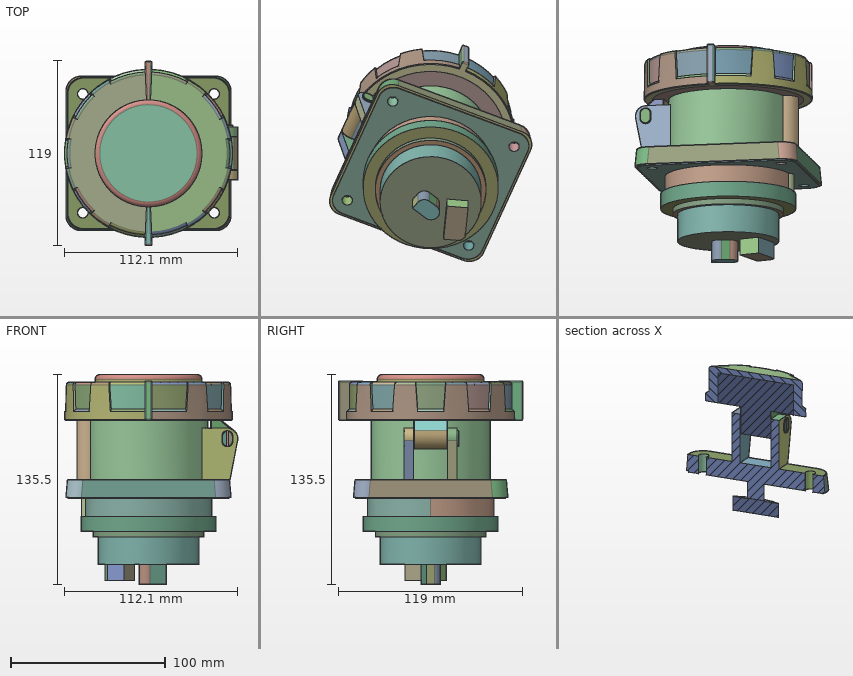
import cadquery as cq
import math

block_foot_bottom = 2.5
insert_bottom = 12.9
insert_step_bottom = 30.6
insert_collar_bottom = 34.1
insert_top = 43.9
flange_bottom = 55.3
flange_top = 67.6
housing_top = 105.8
lid_disc_top = 126.7
ring_top = 130.5
lid_top = 135.5

barrel_radius = 38.5
neck_radius = 40.9
column_offset = 38.0
column_radius = 8.3
neck_column_radius = 5.4
flange_length = 106.8
flange_width = 99.9
flange_corner_radius = 10.0
flange_draft_inset = 1.0
flange_top_chamfer = 0.4
flange_lip_height = 0.8
flange_lip_inset = 1.5
mount_spacing_x = 84.8
mount_spacing_y = 76.7
mount_hole_diameter = 6.6

hinge_x = 51.0
hinge_z = 94.0
hinge_radius = 6.8
hinge_half_width = 17.1
hinge_gap_half_width = 11.0
bracket_foot_x = 52.7
bracket_root_x = 27.1
arm_inner_x = 40.1
arm_slope_angle = 39.0
arm_edge_chamfer = 0.5
arm_root = 1.4
pin_width = 7.2
pin_height = 10.3
pin_overhang = 1.2
pin_slot_width = 1.4
pin_slot_depth = 1.4
pin_end_chamfer = 0.4

lid_disc_radius = 48.8
boss_radius = 34.5
boss_fillet = 3.1

ring_base_radius = 54.3
ring_rim_radius = 53.9
ring_top_fillet = 1.8
ring_bottom_chamfer = 0.5
recess_radius = 52.6
recess_bottom = 111.4
recess_pitch = 36.0
narrow_recess_half_angle = 10.5
recess_side_narrowing = 1.5
wing_reach = 59.5
wing_outer_width = 4.7
wing_inner_width = 2.5
wing_outer_top = 131.5
wing_inner_top = 130.8
wing_edge_fillet = 1.0

collar_radius = 43.6
step_radius = 35.8
insert_radius = 32.7
feet_angle = 17.2
block_foot_x = -19.0
block_foot_y = -3.3
block_foot_width = 13.7
block_foot_length = 23.8
block_foot_chamfer = 2.8
round_foot_x = -0.61
round_foot_y = -0.8
round_foot_radius = 5.4
round_foot_length = 16.5

overrun = 6.8


def disc(radius, bottom, top, x=0.0):
    """Upright cylinder between two heights, on the X axis."""
    return cq.Workplane("XY", origin=(x, 0, bottom)).circle(radius).extrude(top - bottom)


def rounded_rectangle(inset, height):
    """Flange outline drawn in by an inset, keeping its corner radius, at a height."""
    return (
        cq.Sketch()
        .rect(flange_length - 2 * inset, flange_width - 2 * inset)
        .vertices()
        .fillet(flange_corner_radius)
        .moved(cq.Location(cq.Vector(0, 0, height)))
    )


def polar(radius, angle):
    """Point at a radius and an angle in degrees."""
    return radius * math.cos(math.radians(angle)), radius * math.sin(math.radians(angle))


def make_flange():
    """Plate with a short set-back lip, drafted sides and a small bevel around the top."""
    lip_top = flange_bottom + flange_lip_height
    bevel_bottom = flange_top - flange_top_chamfer
    lip = (
        cq.Workplane("XY")
        .placeSketch(rounded_rectangle(flange_lip_inset, flange_bottom))
        .extrude(flange_lip_height)
    )
    plate = (
        cq.Workplane("XY")
        .placeSketch(
            rounded_rectangle(0, lip_top),
            rounded_rectangle(flange_draft_inset, bevel_bottom),
            rounded_rectangle(flange_draft_inset + flange_top_chamfer, flange_top),
        )
        .loft(ruled=True)
    )
    return plate.union(lip)


def make_bracket_profile():
    """Upright plate outline: flat top, round nose about the pin, back edge sloping to the flange."""
    foot_dx = bracket_foot_x - hinge_x
    foot_dz = flange_top - hinge_z
    foot_angle = math.degrees(math.atan2(foot_dz, foot_dx))
    half_spread = math.degrees(math.acos(hinge_radius / math.hypot(foot_dx, foot_dz)))
    tangent_angle = foot_angle + half_spread
    tangent_dx, tangent_dz = polar(hinge_radius, tangent_angle)
    middle_dx, middle_dz = polar(hinge_radius, (90 + tangent_angle) / 2)
    return (
        cq.Workplane("XZ")
        .moveTo(bracket_root_x, flange_top)
        .lineTo(bracket_root_x, hinge_z + hinge_radius)
        .lineTo(hinge_x, hinge_z + hinge_radius)
        .threePointArc(
            (hinge_x + middle_dx, hinge_z + middle_dz),
            (hinge_x + tangent_dx, hinge_z + tangent_dz),
        )
        .lineTo(bracket_foot_x, flange_top)
        .close()
    )


def make_brackets():
    plates = make_bracket_profile().extrude(hinge_half_width, both=True)
    gap = make_bracket_profile().extrude(hinge_gap_half_width, both=True)
    return plates.cut(gap)


def make_housing():
    body = (
        make_flange()
        .union(make_brackets())
        .union(disc(barrel_radius, flange_top, housing_top))
        .union(disc(column_radius, flange_top, housing_top, -column_offset))
        .union(disc(neck_radius, insert_top, flange_bottom))
        .union(disc(neck_column_radius, insert_top, flange_bottom, -column_offset))
    )
    mounting_holes = (
        cq.Workplane("XY", origin=(0, 0, flange_bottom))
        .rect(mount_spacing_x, mount_spacing_y, forConstruction=True)
        .vertices()
        .circle(mount_hole_diameter / 2)
        .extrude(flange_top - flange_bottom)
    )
    return body.cut(mounting_holes).cut(make_pin_shape())


def make_pin_shape():
    """Plain pin of oblong section, flush with the -Y bracket and standing proud of the +Y one."""
    return (
        cq.Workplane("XZ", origin=(hinge_x, hinge_half_width + pin_overhang, hinge_z))
        .slot2D(pin_height, pin_width, 90)
        .extrude(2 * hinge_half_width + pin_overhang)
    )


def make_pin():
    slot = cq.Workplane("XY", origin=(hinge_x, -hinge_half_width, hinge_z)).box(
        pin_slot_width, 2 * pin_slot_depth, pin_height
    )
    return make_pin_shape().faces("<Y or >Y").chamfer(pin_end_chamfer).cut(slot)


def make_lid_arm():
    """Hinge arm: slopes from the lid's underside onto a round knuckle about the pin."""
    slope_dx, slope_dz = polar(hinge_radius, 90 - arm_slope_angle)
    nose_dx, nose_dz = polar(hinge_radius, -arm_slope_angle / 2)
    slope_x = hinge_x + slope_dx
    slope_z = hinge_z + slope_dz
    arm_top = housing_top + arm_root
    slope_top_x = slope_x - (arm_top - slope_z) / math.tan(math.radians(arm_slope_angle))
    return (
        cq.Workplane("XZ", origin=(0, hinge_gap_half_width, 0))
        .moveTo(arm_inner_x, arm_top)
        .lineTo(slope_top_x, arm_top)
        .lineTo(slope_x, slope_z)
        .threePointArc((hinge_x + nose_dx, hinge_z + nose_dz), (hinge_x, hinge_z - hinge_radius))
        .lineTo(arm_inner_x, hinge_z - hinge_radius)
        .close()
        .extrude(2 * hinge_gap_half_width)
        .faces("<Y or >Y")
        .chamfer(arm_edge_chamfer)
    )


def make_lid():
    boss = disc(boss_radius, lid_disc_top, lid_top).faces(">Z").edges().fillet(boss_fillet)
    disc_plate = disc(lid_disc_radius, housing_top, lid_disc_top)
    return disc_plate.union(boss).union(make_lid_arm()).cut(make_pin_shape())


def make_ring_blank():
    blank = (
        cq.Workplane("XZ")
        .moveTo(0, housing_top)
        .lineTo(ring_base_radius, housing_top)
        .lineTo(ring_rim_radius, ring_top)
        .lineTo(0, ring_top)
        .close()
        .revolve(360, (0, 0), (0, 1))
    )
    blank = blank.faces(">Z").edges().fillet(ring_top_fillet)
    return blank.faces("<Z").edges().chamfer(ring_bottom_chamfer)


def make_recess_band():
    """Band outside the recessed wall, with a 45 degree floor and a rounded upper edge."""
    outside = ring_base_radius + overrun
    above = ring_top + overrun
    floor_rise = ring_base_radius - recess_radius
    corner = ring_top_fillet * (1 - math.sqrt(0.5))
    return (
        cq.Workplane("XZ")
        .moveTo(outside, recess_bottom - overrun)
        .lineTo(recess_radius, recess_bottom + floor_rise)
        .lineTo(recess_radius, ring_top - ring_top_fillet)
        .threePointArc(
            (recess_radius - corner, ring_top - corner),
            (recess_radius - ring_top_fillet, ring_top),
        )
        .lineTo(recess_radius - ring_top_fillet, above)
        .lineTo(outside, above)
        .close()
        .revolve(360, (0, 0), (0, 1))
    )


def make_recess_wedge(half_angle, direction):
    """Radial-sided wedge that narrows downwards, pointing in the given direction."""
    top_slope = math.tan(math.radians(half_angle))
    bottom_slope = math.tan(math.radians(half_angle - recess_side_narrowing))

    def section(workplane, distance):
        return workplane.polyline(
            [
                (-bottom_slope * distance, recess_bottom),
                (bottom_slope * distance, recess_bottom),
                (top_slope * distance, ring_top),
                (-top_slope * distance, ring_top),
            ]
        ).close()

    near = boss_radius
    far = ring_base_radius + overrun
    wedge = section(cq.Workplane("YZ", origin=(near, 0, 0)), near)
    wedge = section(wedge.workplane(offset=far - near), far).loft(ruled=True)
    return wedge.rotate((0, 0, 0), (0, 0, 1), direction)


def make_wing(direction):
    """Grip rib tapering in plan and in height towards the boss."""
    wing_root = boss_radius - overrun
    plan = (
        cq.Workplane("XY", origin=(0, 0, housing_top))
        .polyline(
            [
                (wing_root, -wing_inner_width / 2),
                (wing_reach, -wing_outer_width / 2),
                (wing_reach, wing_outer_width / 2),
                (wing_root, wing_inner_width / 2),
            ]
        )
        .close()
        .extrude(lid_top - housing_top)
    )
    side = (
        cq.Workplane("XZ")
        .polyline(
            [
                (wing_root, housing_top),
                (wing_reach, housing_top),
                (wing_reach, wing_outer_top),
                (wing_root, wing_inner_top),
            ]
        )
        .close()
        .extrude(wing_outer_width, both=True)
    )
    wing = plan.intersect(side)
    wing = wing.faces(">X or >Z").edges("not <X").fillet(wing_edge_fillet)
    return wing.rotate((0, 0, 0), (0, 0, 1), direction)


def make_ring():
    ring = make_ring_blank()
    band = make_recess_band()
    wide_half_angle = narrow_recess_half_angle + recess_pitch / 2
    recesses = [(90.0, wide_half_angle), (270.0, wide_half_angle)]
    for side in (0, 180):
        for step in (-1, 0, 1):
            recesses.append((side + step * recess_pitch, narrow_recess_half_angle))
    for direction, half_angle in recesses:
        ring = ring.cut(band.intersect(make_recess_wedge(half_angle, direction)))
    for direction in (90, 270):
        ring = ring.union(make_wing(direction))
    lid_room = disc(lid_disc_radius, housing_top, lid_disc_top)
    boss_hole = disc(boss_radius, lid_disc_top, lid_top)
    return ring.cut(lid_room).cut(boss_hole)


def make_block_foot():
    """Turned rectangular foot with one bevelled corner."""
    return (
        cq.Workplane("XY")
        .rect(block_foot_width, block_foot_length)
        .extrude(insert_bottom - block_foot_bottom)
        .edges("|Z").edges("<(1, 1, 0)")
        .chamfer(block_foot_chamfer)
        .rotate((0, 0, 0), (0, 0, 1), -feet_angle)
        .translate((block_foot_x, block_foot_y, block_foot_bottom))
    )


def make_round_foot():
    """Turned oblong foot whose far end keeps one square corner."""
    half_span = round_foot_length / 2 - round_foot_radius
    oblong = cq.Workplane("XY").center(half_span, 0).slot2D(round_foot_length, 2 * round_foot_radius)
    corner = cq.Workplane("XY").rect(
        round_foot_length - round_foot_radius, -round_foot_radius, centered=False
    )
    return (
        oblong.extrude(insert_bottom)
        .union(corner.extrude(insert_bottom))
        .rotate((0, 0, 0), (0, 0, 1), feet_angle)
        .translate((round_foot_x, round_foot_y, 0))
    )


def make_insert():
    return (
        disc(collar_radius, insert_collar_bottom, insert_top)
        .union(disc(step_radius, insert_step_bottom, insert_collar_bottom))
        .union(disc(insert_radius, insert_bottom, insert_step_bottom))
        .union(make_block_foot())
        .union(make_round_foot())
    )


housing = make_housing()
hinge_pin = make_pin()
lid = make_lid()
bayonet_ring = make_ring()
insert = make_insert()

result = cq.Compound.makeCompound(
    [housing.val(), hinge_pin.val(), lid.val(), bayonet_ring.val(), insert.val()]
)